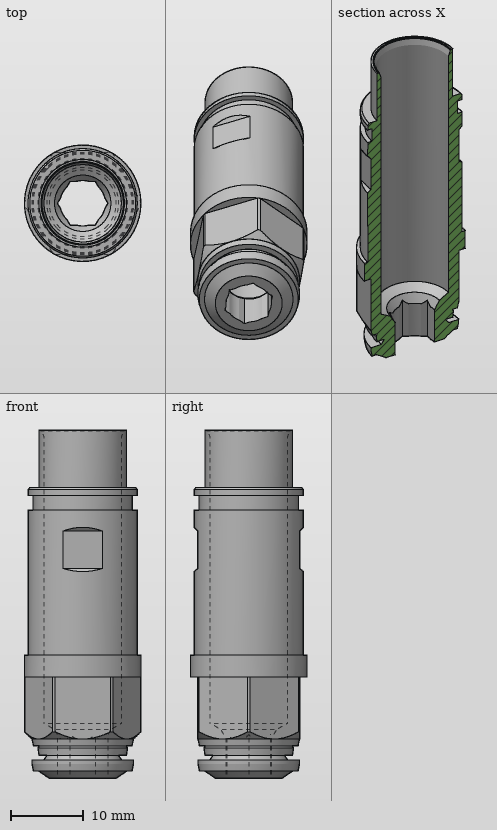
import cadquery as cq
import math

LENGTH = 47.75
SOCKET_BASE = 39.9
FLANGE_EDGE = 39.6
FLANGE_BOTTOM = 38.75
GROOVE_BOTTOM = 36.75
COLLAR_TOP = 16.9
HEX_TOP = 13.9
HEX_BOTTOM = 5.4
SEAT_BOTTOM = 4.45
RING_EDGE = 4.15
RING_BOTTOM = 3.15
NUT_TOP = 2.55
NUT_EDGE = 1.95
NUT_FACE = 1.0

COLLAR_RADIUS = 16.0 / 2
BODY_RADIUS = 7.5
FLANGE_TOP_RADIUS = 7.25
GROOVE_RADIUS = 6.85
SOCKET_RADIUS = 6.0
SEAT_TOP_RADIUS = 6.95
SEAT_BOTTOM_RADIUS = 6.8
RING_TOP_RADIUS = 5.95
RING_RADIUS = 6.15
RING_BOTTOM_RADIUS = 6.0
NECK_RADIUS = 4.9
NECK_BASE_RADIUS = 5.35
NUT_RADIUS = 6.95
NUT_FACE_RADIUS = 6.8
DOME_RADIUS = 6.05
END_RADIUS = 4.6

ACROSS_FLATS = 14.0
HEX_CORNER_RADIUS = 7.97
FLAT_TOP = 33.9
FLAT_BOTTOM = 28.8
FLAT_TOP_RISE = 0.53
FLAT_BOTTOM_DROP = 0.45

MOUTH_RADIUS = 5.75
MOUTH_DEPTH = 0.1
LEAD_IN_RADIUS = 5.6
LEAD_IN_DEPTH = 1.0
BORE_RADIUS = 5.3
ENTRY_SLOPE = math.radians(30)
THROAT_SLOPE = math.radians(60)
THROAT_TOP_RADIUS = 3.85
THROAT_RADIUS = 3.1
THROAT_BOTTOM = HEX_BOTTOM
HEX_SOCKET_ACROSS_FLATS = 5.95


def revolve_profile(points):
    """Revolve a closed (radius, height) outline around the Z axis."""
    return cq.Workplane("XZ").polyline(points).close().revolve(360, (0, 0, 0), (0, 1, 0))


def hexagon(across_flats, bottom, top):
    """Hexagonal prism with two sides facing +Y and -Y."""
    corner_diameter = across_flats / math.cos(math.pi / 6)
    return cq.Workplane("XY").workplane(offset=bottom).polygon(6, corner_diameter).extrude(top - bottom)


def upper_body():
    return revolve_profile([
        (0, HEX_TOP),
        (COLLAR_RADIUS, HEX_TOP),
        (COLLAR_RADIUS, COLLAR_TOP),
        (BODY_RADIUS, COLLAR_TOP),
        (BODY_RADIUS, GROOVE_BOTTOM),
        (GROOVE_RADIUS, GROOVE_BOTTOM),
        (GROOVE_RADIUS, FLANGE_BOTTOM),
        (BODY_RADIUS, FLANGE_BOTTOM),
        (BODY_RADIUS, FLANGE_EDGE),
        (FLANGE_TOP_RADIUS, SOCKET_BASE),
        (SOCKET_RADIUS, SOCKET_BASE),
        (SOCKET_RADIUS, LENGTH),
        (0, LENGTH),
    ])


def hex_nut():
    """Hexagon with its corners turned off and a 45 degree chamfer at the lower end."""
    flat_radius = ACROSS_FLATS / 2
    chamfer_top = HEX_BOTTOM + HEX_CORNER_RADIUS - flat_radius
    turned = revolve_profile([
        (0, HEX_BOTTOM),
        (flat_radius, HEX_BOTTOM),
        (HEX_CORNER_RADIUS, chamfer_top),
        (HEX_CORNER_RADIUS, HEX_TOP),
        (0, HEX_TOP),
    ])
    return hexagon(ACROSS_FLATS, HEX_BOTTOM, HEX_TOP).intersect(turned)


def cable_end():
    return revolve_profile([
        (0, 0),
        (END_RADIUS, 0),
        (DOME_RADIUS, NUT_FACE),
        (NUT_FACE_RADIUS, NUT_FACE),
        (NUT_RADIUS, NUT_EDGE),
        (NUT_RADIUS, NUT_TOP),
        (NECK_BASE_RADIUS, NUT_TOP),
        (NECK_RADIUS, RING_BOTTOM),
        (RING_BOTTOM_RADIUS, RING_BOTTOM),
        (RING_RADIUS, RING_EDGE),
        (RING_TOP_RADIUS, SEAT_BOTTOM),
        (SEAT_BOTTOM_RADIUS, SEAT_BOTTOM),
        (SEAT_TOP_RADIUS, HEX_BOTTOM),
        (0, HEX_BOTTOM),
    ])


def wrench_flat_cutter():
    """Trapezoidal cutter for the wrench flat on the +Y side, running across in X."""
    flat_y = ACROSS_FLATS / 2
    profile = [
        (flat_y, FLAT_BOTTOM),
        (BODY_RADIUS, FLAT_BOTTOM - FLAT_BOTTOM_DROP),
        (BODY_RADIUS, FLAT_TOP + FLAT_TOP_RISE),
        (flat_y, FLAT_TOP),
    ]
    return cq.Workplane("YZ").polyline(profile).close().extrude(BODY_RADIUS, both=True)


def bore():
    """Stepped bore narrowing to a throat with a hexagonal opening right through."""
    throat_top = THROAT_BOTTOM + (THROAT_TOP_RADIUS - THROAT_RADIUS) * math.tan(THROAT_SLOPE)
    entry_top = throat_top + (BORE_RADIUS - THROAT_TOP_RADIUS) * math.tan(ENTRY_SLOPE)
    turned = revolve_profile([
        (0, 0),
        (THROAT_RADIUS, 0),
        (THROAT_RADIUS, THROAT_BOTTOM),
        (THROAT_TOP_RADIUS, throat_top),
        (BORE_RADIUS, entry_top),
        (BORE_RADIUS, LENGTH - LEAD_IN_DEPTH),
        (LEAD_IN_RADIUS, LENGTH - MOUTH_DEPTH),
        (MOUTH_RADIUS, LENGTH - MOUTH_DEPTH),
        (MOUTH_RADIUS, LENGTH),
        (0, LENGTH),
    ])
    return turned.union(hexagon(HEX_SOCKET_ACROSS_FLATS, 0, throat_top))


flat_cutter = wrench_flat_cutter()
result = upper_body().union(hex_nut()).union(cable_end())
result = result.cut(flat_cutter).cut(flat_cutter.mirror("XZ")).cut(bore())